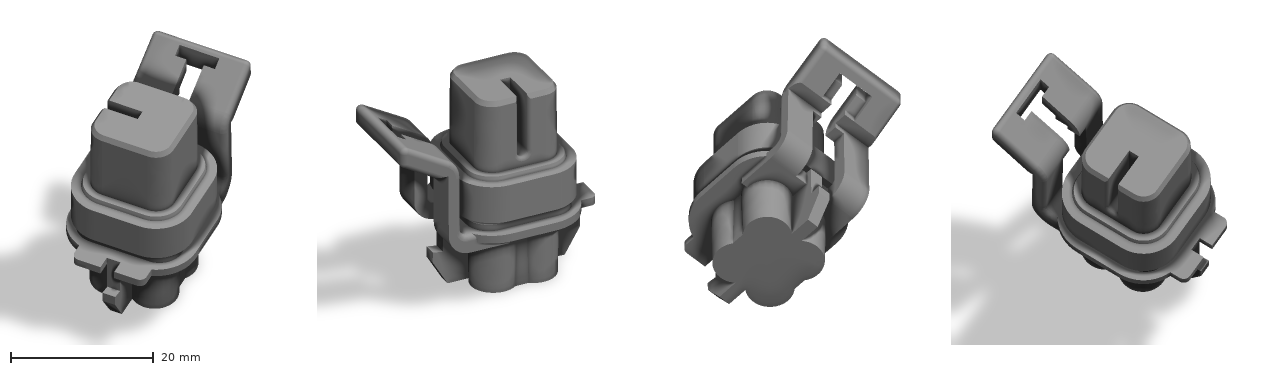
import cadquery as cq
import math


tolerance = 0.01

total_height = 30.5
tail_bottom = -9.78
flange_top = 1.25
collar_top = 2.25
collar_bump_top = 2.6
seal_bottom = 2.92
seal_rim = 8.71
seal_top = 8.81
body_top = 9.47
plug_chamfer_start = 19.92
plug_top = tail_bottom + total_height

corner_center = 3.54
flange_half = 9.75
seal_half = 9.09
body_half = 7.65
body_top_half = 7.42
neck_half = 7.4
plug_base_half = 6.35
plug_shoulder_half = 6.27
plug_tip_half = 5.78

collar_half = 8.05
collar_corner_center = 4.55
bump_base_half = 3.4
bump_top_half = 3.03
bump_thickness = 0.35

keyway_width = 1.6
keyway_end_x = -0.6
keyway_center_z = 11.68
keyway_mouth_round = 0.55

tab_half = 5.6
tab_end_y = -12.02
tab_corner_round = 1.05
notch_half = 1.07

latch_half_top = 1.07
latch_half_bottom = 0.93
latch_y = 9.95
hook_y = 11.54
hook_outer_z = -4.22
hook_inner_z = -4.47
hook_nose_z = -5.82
hook_bottom_y = 9.18

lobe_center = 3.12
lobe_radius_top = 3.66
lobe_radius_bottom = 3.48
rib_half_width = 1.0
rib_half_length = 5.9

lever_bottom = -1.38
lever_base_end_y = 2.96
lever_inner_y = 10.39
lever_outer_y = 12.41
lever_tip_y = 19.62
lever_inner_bend = 1.1
lever_outer_bend = 3.4
arm_bend = 3.2
arm_bend_start_z = 10.86
arm_flat_z = 11.64
arm_flat_end_y = 14.43
arm_slope = math.radians(30)
lever_half_bottom = 7.84
lever_half_top = 7.53
lever_edge_round = 0.79
leg_slot_half_bottom = 3.08
leg_slot_half_top = 2.95
leg_slot_start_y = 9.0
leg_slot_top = 10.7
arm_slot_bar_start_y = 16.72
arm_slot_bar_end_y = 18.15
arm_slot_bar_half = 3.1
arm_slot_stem_half_bottom = 1.3
arm_slot_stem_half_top = 1.4
arm_pocket_depth = 1.05


def square_sketch(half, center):
    """Rounded square whose corner arcs are centred at (+-center, +-center)."""
    return cq.Sketch().rect(2 * half, 2 * half).vertices().fillet(half - center)


def rounded_prism(half, z_low, z_high, center=corner_center):
    base = cq.Workplane("XY", origin=(0, 0, z_low)).placeSketch(square_sketch(half, center))
    return base.extrude(z_high - z_low)


def rounded_frustum(half_low, z_low, half_high, z_high):
    """Loft between two rounded squares, both on the shared corner centres."""
    low = square_sketch(half_low, corner_center)
    high = square_sketch(half_high, corner_center)
    lift = cq.Location(cq.Vector(0, 0, z_high - z_low))
    return cq.Workplane("XY", origin=(0, 0, z_low)).placeSketch(low, high.moved(lift)).loft()


def box(x_range, y_range, z_range):
    size = [high - low for low, high in (x_range, y_range, z_range)]
    corner = (x_range[0], y_range[0], z_range[0])
    return cq.Workplane("XY").box(*size, centered=False).translate(corner)


def trapezoid_prism(half_low, z_low, half_high, z_high, y_low, y_high):
    """Prism along Y with a trapezoidal XZ section symmetric about X = 0."""
    return (
        cq.Workplane("XZ", origin=(0, y_high, 0))
        .polyline([(-half_low, z_low), (half_low, z_low), (half_high, z_high), (-half_high, z_high)])
        .close()
        .extrude(y_high - y_low)
    )


def make_plug():
    """Drafted plug with a keyway whose mouth is rounded before the tip is chamfered."""
    plug = rounded_frustum(plug_base_half, body_top, plug_shoulder_half, plug_top).cut(make_keyway())
    mouth = cq.selectors.BoxSelector(
        (-plug_base_half - tolerance, -keyway_width, body_top + tolerance),
        (-plug_shoulder_half + tolerance, keyway_width, plug_top - tolerance),
    )
    plug = plug.edges(mouth).fillet(keyway_mouth_round)
    envelope = rounded_prism(plug_base_half, body_top, plug_chamfer_start)
    tip = rounded_frustum(plug_base_half, plug_chamfer_start, plug_tip_half, plug_top)
    return plug.intersect(envelope.union(tip))


def make_keyway():
    """Upright slot with a round bottom, open at the top and on the -X face."""
    half = keyway_width / 2
    return (
        cq.Workplane("YZ", origin=(-plug_base_half, 0, 0))
        .moveTo(-half, plug_top)
        .lineTo(-half, keyway_center_z)
        .threePointArc((0, keyway_center_z - half), (half, keyway_center_z))
        .lineTo(half, plug_top)
        .close()
        .extrude(keyway_end_x + plug_base_half)
    )


def make_body():
    """Body with its collar, narrowing neck, sealing ring and drafted shoulder."""
    body = rounded_prism(body_half, seal_bottom, seal_top)
    neck = rounded_frustum(neck_half, collar_top, body_half, seal_bottom)
    shoulder = rounded_frustum(body_half, seal_top, body_top_half, body_top)
    seal = rounded_prism(seal_half, seal_bottom, seal_rim)
    seal_face = rounded_frustum(seal_half, seal_rim, body_half, seal_top)
    collar = rounded_prism(collar_half, 0, collar_top, collar_corner_center)
    body = body.union(neck).union(shoulder).union(seal).union(seal_face).union(collar)
    bump = trapezoid_prism(
        bump_base_half, collar_top, bump_top_half, collar_bump_top,
        -collar_half, -collar_half + bump_thickness,
    )
    for quarter in range(4):
        body = body.union(bump.rotate((0, 0, 0), (0, 0, 1), 90 * quarter))
    return body


def make_flange():
    flange = rounded_prism(flange_half, 0, flange_top)
    tab = box((-tab_half, tab_half), (tab_end_y, 0), (0, flange_top))
    tab = tab.edges("|Z and <Y").fillet(tab_corner_round)
    notch = box((-notch_half, notch_half), (tab_end_y, -latch_y), (0, flange_top))
    return flange.union(tab).cut(notch)


def make_latches():
    """Drafted slab across the tail that ends in a hook on the +Y and -Y sides."""
    right_side = [
        (latch_y, flange_top),
        (latch_y, hook_inner_z),
        (hook_y, hook_outer_z),
        (hook_y, hook_nose_z),
        (hook_bottom_y, tail_bottom),
    ]
    left_side = [(-y, z) for y, z in reversed(right_side)]
    slab = (
        cq.Workplane("YZ", origin=(-latch_half_top, 0, 0))
        .polyline(right_side + left_side)
        .close()
        .extrude(2 * latch_half_top)
    )
    draft = trapezoid_prism(
        latch_half_bottom, tail_bottom, latch_half_top, flange_top, -hook_y, hook_y
    )
    return slab.intersect(draft)


def make_tail():
    """Four drafted lobes around a square core, with a flat rib between the lobes on each X side."""
    depth = -tail_bottom
    draft = math.degrees(math.atan((lobe_radius_top - lobe_radius_bottom) / depth))
    tail = box(
        (-rib_half_length, rib_half_length), (-rib_half_width, rib_half_width), (tail_bottom, 0)
    )
    core = box((-lobe_center, lobe_center), (-lobe_center, lobe_center), (tail_bottom, 0))
    tail = tail.union(core)
    for x in (-lobe_center, lobe_center):
        for y in (-lobe_center, lobe_center):
            lobe = cq.Workplane("XY").center(x, y).circle(lobe_radius_top).extrude(-depth, taper=draft)
            tail = tail.union(lobe)
    return tail


def make_lever_blank():
    """Lever cross-section in YZ, extruded across X and drafted on both sides."""
    half = lever_half_bottom
    inner_center = (lever_inner_y - lever_inner_bend, flange_top + lever_inner_bend)
    outer_center = (lever_outer_y - lever_outer_bend, lever_bottom + lever_outer_bend)
    arm_center_y = lever_inner_y + arm_bend
    inner_diagonal = lever_inner_bend * math.sqrt(0.5)
    outer_diagonal = lever_outer_bend * math.sqrt(0.5)
    bend_end = math.pi / 2 - arm_slope
    bend_middle = bend_end / 2
    arm_y = arm_center_y - arm_bend * math.cos(bend_end)
    arm_z = arm_bend_start_z + arm_bend * math.sin(bend_end)
    tip_top_z = arm_z + (lever_tip_y - arm_y) * math.tan(arm_slope)
    tip_bottom_z = arm_flat_z + (lever_tip_y - arm_flat_end_y) * math.tan(arm_slope)
    blank = (
        cq.Workplane("YZ", origin=(-half, 0, 0))
        .moveTo(lever_base_end_y, lever_bottom)
        .lineTo(outer_center[0], lever_bottom)
        .threePointArc(
            (outer_center[0] + outer_diagonal, outer_center[1] - outer_diagonal),
            (lever_outer_y, outer_center[1]),
        )
        .lineTo(lever_outer_y, arm_flat_z)
        .lineTo(arm_flat_end_y, arm_flat_z)
        .lineTo(lever_tip_y, tip_bottom_z)
        .lineTo(lever_tip_y, tip_top_z)
        .lineTo(arm_y, arm_z)
        .threePointArc(
            (
                arm_center_y - arm_bend * math.cos(bend_middle),
                arm_bend_start_z + arm_bend * math.sin(bend_middle),
            ),
            (lever_inner_y, arm_bend_start_z),
        )
        .lineTo(lever_inner_y, inner_center[1])
        .threePointArc(
            (inner_center[0] + inner_diagonal, inner_center[1] - inner_diagonal),
            (inner_center[0], flange_top),
        )
        .lineTo(lever_base_end_y, flange_top)
        .close()
        .extrude(2 * half)
    )
    draft = trapezoid_prism(
        lever_half_bottom, lever_bottom, lever_half_top, tip_top_z, lever_base_end_y, lever_tip_y
    )
    return blank.intersect(draft)


def is_rounded_edge(edge):
    """True for the inner rim of the base and leg and for the whole rim of the finger arm."""
    middle = edge.positionAt(0.5)
    if abs(middle.x) < tolerance:
        return middle.y > lever_tip_y - tolerance
    on_inner_rim = middle.y < lever_inner_y + tolerance and middle.z > flange_top - tolerance
    on_arm_rim = middle.z > arm_flat_z + tolerance
    return on_inner_rim or on_arm_rim


def make_lever():
    blank = make_lever_blank()
    rim = [edge for edge in blank.edges().vals() if is_rounded_edge(edge)]
    lever = blank.newObject(rim).fillet(lever_edge_round)
    bar = box(
        (-arm_slot_bar_half, arm_slot_bar_half),
        (arm_slot_bar_start_y, arm_slot_bar_end_y),
        (arm_flat_z, plug_top),
    )
    stem = trapezoid_prism(
        arm_slot_stem_half_bottom, leg_slot_top, arm_slot_stem_half_top, plug_top,
        leg_slot_start_y, arm_slot_bar_start_y,
    )
    return lever.cut(bar).cut(stem).cut(make_arm_pocket())


def make_arm_pocket():
    """Pocket in the underside of the arm; its roof follows the slope of the arm."""
    rise = (arm_slot_bar_end_y - arm_flat_end_y) * math.tan(arm_slope)
    return (
        cq.Workplane("YZ", origin=(-arm_slot_bar_half, 0, 0))
        .moveTo(arm_flat_end_y, arm_flat_z)
        .lineTo(arm_slot_bar_end_y, arm_flat_z)
        .lineTo(arm_slot_bar_end_y, arm_flat_z + rise + arm_pocket_depth)
        .lineTo(arm_flat_end_y, arm_flat_z + arm_pocket_depth)
        .close()
        .extrude(2 * arm_slot_bar_half)
    )


def make_leg_slot():
    """Slot through the flange edge, the lever base and the leg, up to the bend of the arm."""
    return trapezoid_prism(
        leg_slot_half_bottom, lever_bottom, leg_slot_half_top, leg_slot_top,
        leg_slot_start_y, lever_outer_y,
    )


result = make_flange().union(make_lever()).cut(make_leg_slot())
result = result.union(make_body()).union(make_plug()).union(make_tail()).union(make_latches())